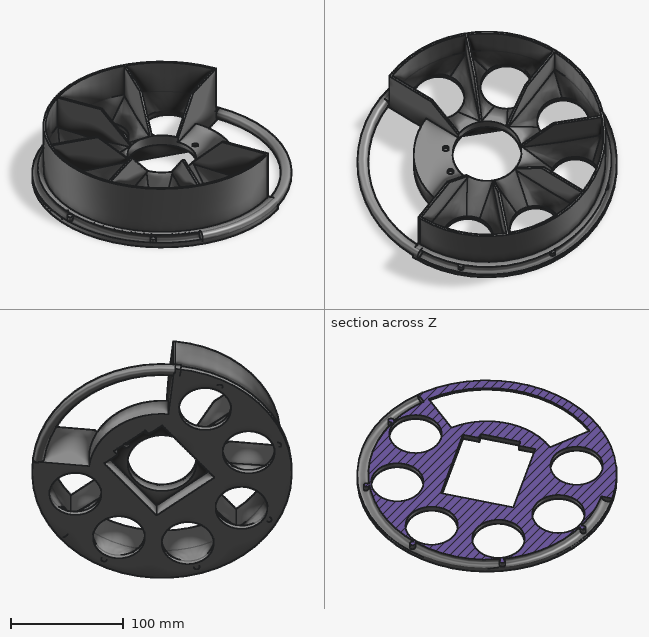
import math

import cadquery as cq

tray_height = 25.0
wall_top = 55.0
plate_top = 20.0
plate_thickness = 5.0
hole_land = 5.0

hub_radius = 61.0 / 2
plate_radius = 65.0
screw_diameter = 5.4
screw_x = 12.0
screw_y = 35.0

recess_half_x = 33.0
recess_back_y = 40.5
recess_front_y = -33.0
notch_half_x = 18.0
notch_depth = 5.0

wall_radius = 105.0
wall_thickness = 2.0
rib_thickness = 2.0
rib_full_radius = 60.0

compartment_angle = 45.0
compartment_count = 6
first_rib_angle = 135.0
compartment_hole_diameter = 46.0
hole_circle_radius = 80.0
inner_split_angle = 15.0
outer_split_angle = 120.0

tube_radius = 5.0
tube_circle_radius = 110.0
tube_sweep = 137.5
channel_floor = 0.1
peg_diameter = 5.2
peg_height = 5.0

inner_wall_radius = wall_radius - wall_thickness
rim_radius = tube_circle_radius + tube_radius
rim_height = 2 * tube_radius
channel_radius = tube_radius - channel_floor
half_rib = rib_thickness / 2
body_sweep = compartment_angle * compartment_count
last_rib_angle = first_rib_angle + body_sweep
peg_circle_radius = tube_circle_radius - peg_diameter / 2
compartment_middles = [
    first_rib_angle + compartment_angle * (i + 0.5) for i in range(compartment_count)
]


def polar(radius, angle):
    return (radius * math.cos(math.radians(angle)), radius * math.sin(math.radians(angle)))


def cylinder(radius, bottom, top):
    return cq.Workplane("XY").workplane(offset=bottom).circle(radius).extrude(top - bottom)


def turned(shape, angle):
    return shape.rotate((0, 0, 0), (0, 0, 1), angle)


def make_tray():
    """Solid floor, tall outer wall and the rim with its open tube channel."""
    profile = (
        cq.Workplane("XZ")
        .moveTo(hub_radius, 0)
        .lineTo(rim_radius, 0)
        .lineTo(rim_radius, tube_radius)
        .lineTo(tube_circle_radius + channel_radius, tube_radius)
        .threePointArc(
            (tube_circle_radius, channel_floor),
            (tube_circle_radius - channel_radius, tube_radius),
        )
        .threePointArc(
            (
                tube_circle_radius - channel_radius * math.sqrt(0.5),
                tube_radius + channel_radius * math.sqrt(0.5),
            ),
            (tube_circle_radius, tube_radius + channel_radius),
        )
        .lineTo(tube_circle_radius, rim_height)
        .lineTo(wall_radius, rim_height)
        .lineTo(wall_radius, wall_top)
        .lineTo(inner_wall_radius, wall_top)
        .lineTo(inner_wall_radius, tray_height)
        .lineTo(hub_radius, tray_height)
        .close()
    )
    ring = profile.revolve(body_sweep, (0, 0, 0), (0, 1, 0))
    return turned(ring, first_rib_angle)


def make_funnel():
    """Void of a compartment on the X axis, from its sector outline down to its round hole.

    The straight sides of the outline lie on the centre planes of the ribs.
    """

    def outline_corner(radius, side):
        return polar(radius, side * compartment_angle / 2)

    def hole_point(angle_from_inward):
        x, y = polar(compartment_hole_diameter / 2, 180 - angle_from_inward)
        return (hole_circle_radius + x, y)

    outline = (
        cq.Workplane("XY")
        .workplane(offset=tray_height)
        .moveTo(*outline_corner(hub_radius, -1))
        .threePointArc((hub_radius, 0), outline_corner(hub_radius, 1))
        .lineTo(*outline_corner(inner_wall_radius, 1))
        .threePointArc((inner_wall_radius, 0), outline_corner(inner_wall_radius, -1))
        .close()
        .val()
    )
    side_angle = (inner_split_angle + outer_split_angle) / 2
    mouth = (
        cq.Workplane("XY")
        .workplane(offset=hole_land)
        .moveTo(*hole_point(-inner_split_angle))
        .threePointArc(hole_point(0), hole_point(inner_split_angle))
        .threePointArc(hole_point(side_angle), hole_point(outer_split_angle))
        .threePointArc(hole_point(180), hole_point(-outer_split_angle))
        .threePointArc(hole_point(-side_angle), hole_point(-inner_split_angle))
        .wire()
        .val()
    )
    slopes = cq.Solid.makeLoft([outline, mouth], True)
    hole = cylinder(compartment_hole_diameter / 2, 0, hole_land).translate((hole_circle_radius, 0, 0))
    return cq.Workplane(slopes).union(hole)


def make_rib():
    """Radial rib along X with a sloping inner end."""
    profile = [
        (hub_radius, 0),
        (inner_wall_radius, 0),
        (inner_wall_radius, wall_top),
        (rib_full_radius, wall_top),
        (hub_radius, tray_height),
    ]
    return cq.Workplane("XZ").polyline(profile).close().extrude(half_rib, both=True)


def make_end_edge():
    """Short block along X that carries the wall and rim out to an end rib's outer face."""

    def block(inner, outer, height):
        size = (outer - inner, rib_thickness, height)
        return cq.Workplane("XY").box(*size, centered=(False, True, False)).translate((inner, 0, 0))

    wall = block(inner_wall_radius, wall_radius, wall_top)
    flange = block(wall_radius, tube_circle_radius, rim_height)
    groove = (
        cq.Workplane("XZ")
        .center(tube_circle_radius, tube_radius)
        .circle(channel_radius)
        .extrude(rib_thickness, both=True)
    )
    return wall.union(flange).cut(groove)


def make_hub_plate():
    """Plate on the +Y side of the hub, full height before the recess is cut."""
    return (
        cq.Workplane("XY")
        .lineTo(*polar(plate_radius, last_rib_angle))
        .threePointArc((0, plate_radius), polar(plate_radius, first_rib_angle))
        .close()
        .extrude(plate_top)
    )


def make_recess():
    """Space below the hub plate."""
    depth = plate_top - plate_thickness
    pocket = (
        cq.Workplane("XY")
        .center(0, (recess_back_y + recess_front_y) / 2)
        .rect(2 * recess_half_x, recess_back_y - recess_front_y)
        .extrude(depth)
    )
    notch = (
        cq.Workplane("XY")
        .center(0, recess_back_y)
        .rect(2 * notch_half_x, 2 * notch_depth)
        .extrude(depth)
    )
    return pocket.union(notch)


def make_tube():
    """Round tube that fills one side of the channel and bridges the open sectors."""
    return (
        cq.Workplane("XZ")
        .center(tube_circle_radius, tube_radius)
        .circle(tube_radius)
        .revolve(tube_sweep, (-tube_circle_radius, 0, 0), (-tube_circle_radius, 1, 0))
    )


def make_screw_holes():
    """Pair of screw holes through the hub plate."""
    return (
        cq.Workplane("XY")
        .pushPoints([(-screw_x, screw_y), (screw_x, screw_y)])
        .circle(screw_diameter / 2)
        .extrude(plate_top)
    )


def make_peg():
    """Upright peg in the channel, on the X axis."""
    return cylinder(peg_diameter / 2, 0, peg_height).translate((peg_circle_radius, 0, 0))


result = make_tray()
funnel = make_funnel()
for middle in compartment_middles:
    result = result.cut(turned(funnel, middle))

result = result.union(make_hub_plate())
rib = make_rib()
for i in range(compartment_count + 1):
    result = result.union(turned(rib, first_rib_angle + compartment_angle * i))
end_edge = make_end_edge()
for angle in (first_rib_angle, last_rib_angle):
    result = result.union(turned(end_edge, angle))

result = result.cut(make_recess())
result = result.cut(cylinder(hub_radius, 0, wall_top))
result = result.cut(make_screw_holes())

peg = make_peg()
for middle in compartment_middles:
    result = result.union(turned(peg, middle))
result = result.union(make_tube())